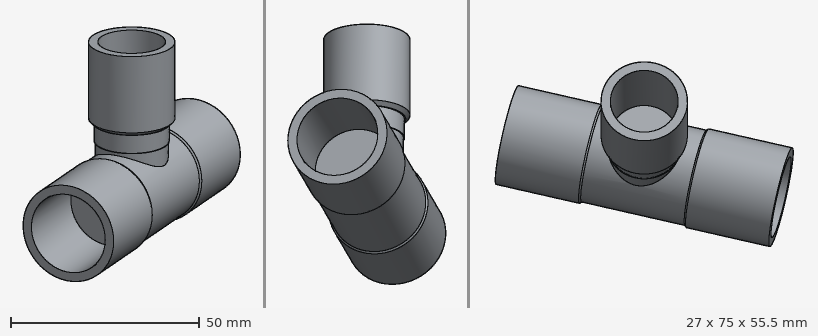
import cadquery as cq

run_length = 75.0
run_socket_diameter = 27.0
run_body_diameter = 26.0
run_bore_diameter = 22.0
run_socket_length = 23.3
run_socket_chamfer = (run_socket_diameter - run_body_diameter) / 2

branch_top = 42.0
branch_socket_diameter = 23.0
branch_neck_diameter = 20.0
branch_root_diameter = 19.5
branch_bore_diameter = 18.0
branch_socket_length = 22.7
branch_socket_chamfer = 1.1
branch_neck_bottom = 13.95

run_bore_depth = run_socket_length
branch_bore_depth = branch_socket_length


def vertical_cylinder(diameter, bottom, top):
    """Cylinder on the Z axis between two heights."""
    return cq.Workplane("XY").workplane(offset=bottom).circle(diameter / 2).extrude(top - bottom)


def cylinder_along_run(diameter, start, end):
    """Cylinder on the Y axis between two positions."""
    return vertical_cylinder(diameter, start, end).rotate((0, 0, 0), (1, 0, 0), -90)


def socket_body(diameter, bottom, top, chamfer):
    """Upright socket with its lower outer edge chamfered."""
    return vertical_cylinder(diameter, bottom, top).faces("<Z").edges().chamfer(chamfer)


half_run = run_length / 2
run_socket = socket_body(run_socket_diameter, half_run - run_socket_length, half_run, run_socket_chamfer)
result = cylinder_along_run(run_body_diameter, -half_run, half_run)
for angle in (-90, 90):
    result = result.union(run_socket.rotate((0, 0, 0), (1, 0, 0), angle))

branch_socket_bottom = branch_top - branch_socket_length
result = (
    result
    .union(vertical_cylinder(branch_root_diameter, 0, branch_neck_bottom))
    .union(vertical_cylinder(branch_neck_diameter, branch_neck_bottom, branch_socket_bottom))
    .union(socket_body(branch_socket_diameter, branch_socket_bottom, branch_top, branch_socket_chamfer))
)

result = (
    result
    .cut(cylinder_along_run(run_bore_diameter, -half_run, -half_run + run_bore_depth))
    .cut(cylinder_along_run(run_bore_diameter, half_run - run_bore_depth, half_run))
    .cut(vertical_cylinder(branch_bore_diameter, branch_top - branch_bore_depth, branch_top))
)